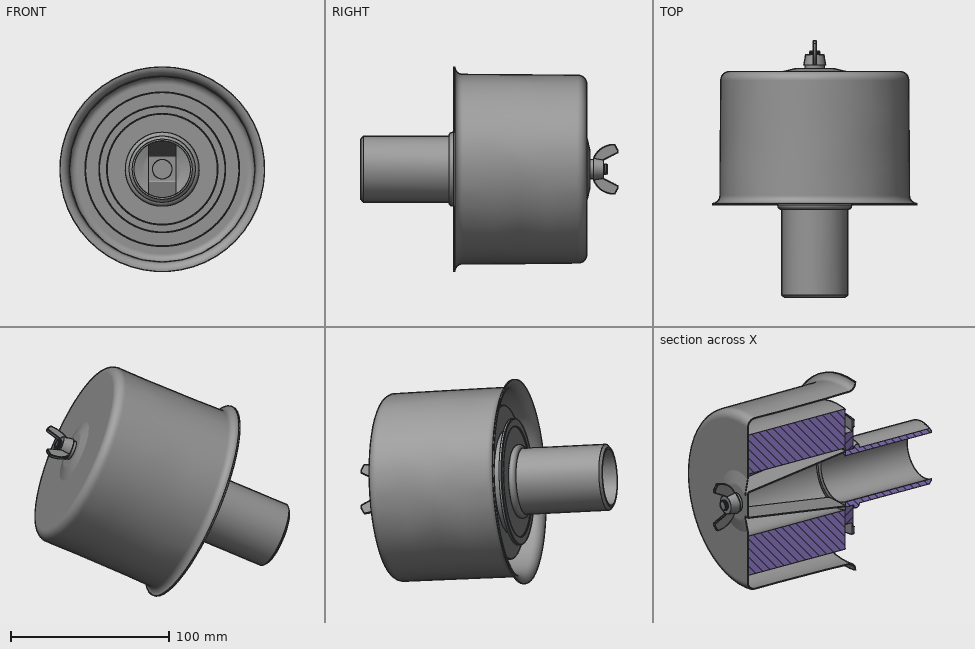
import cadquery as cq
import math


TOTAL_LENGTH = 162.4

SHEET = 1.0
RIM_DIAMETER = 129.5
RIM_RADIUS = RIM_DIAMETER / 2
RIM_Y = 58.6
FLARE_RADIUS = 4.7
MOUTH_RADIUS = RIM_RADIUS - FLARE_RADIUS
FLARE_START_Y = RIM_Y + SHEET + FLARE_RADIUS
BACK_Y = 142.9
BACK_FILLET = 5.7
BACK_WALL_RADIUS = 59.5
DOME_BASE_RADIUS = 20.0
DOME_TOP_RADIUS = 11.7
DOME_HEIGHT = 2.0
DOME_BEND = 6.0
DOME_TOP_Y = BACK_Y + DOME_HEIGHT

ELEMENT_RADIUS = 48.9
ELEMENT_BORE = 22.7
ELEMENT_FRONT_Y = 66.9
EDGE_CHAMFER = 0.5

PLATE_RADIUS = 40.1
PLATE_FRONT_Y = 60.0
PLATE_BACK_Y = 61.7
RECESS_RADIUS = 34.8
RECESS_DEPTH = 0.6
RECESS_Y = PLATE_FRONT_Y + RECESS_DEPTH
NECK_RADIUS = 32.5

PIPE_RADIUS = 21.0
PIPE_BORE = 17.9
PIPE_CHAMFER = 1.6
PIPE_CHAMFER_LENGTH = 2.0
COLLAR_FRONT_Y = 55.7
COLLAR_ROUND = (RECESS_Y - COLLAR_FRONT_Y) / 2

STRAP_WIDTH = 17.2
STRAP_THICKNESS = 1.0
STRAP_FLOOR_Y = 142.0
STRAP_FLOOR_HALF = 8.1
STRAP_FOOT_Z = 18.2
STRAP_BEND = 1.0

SHANK_RADIUS = 6.2
THREAD_RADIUS = 3.0
TIP_RADIUS = 3.4
TIP_LENGTH = 0.8
TIP_CHAMFER = 1.0
STUD_END_Y = 155.9

NUT_BASE_Y = 147.0
NUT_TOP_Y = 153.5
NUT_BASE_RADIUS = 7.0
NUT_TOP_RADIUS = 5.8
WING_THICKNESS = 2.0
WING_CHAMFER = 0.3
WING_ROOT_Z = 4.5
WING_END_LOW_Z = 10.4
WING_END_HIGH_Z = 12.2
WING_CORNER_Y = 160.5
WING_TOP_Z = 15.8
WING_MID_Y = 153.8
WING_MID_Z = 14.3


def turn(profile):
    """Revolve a closed profile of (Y, radius) points about the Y axis."""
    return profile.revolve(360, (0, 0, 0), (1, 0, 0))


def start_profile(y, radius):
    return cq.Workplane("YZ").moveTo(y, radius)


def cylinder(y_start, y_end, radius):
    return turn(
        start_profile(y_start, 0)
        .lineTo(y_start, radius)
        .lineTo(y_end, radius)
        .lineTo(y_end, 0)
        .close()
    )


def tube(y_start, y_end, radius, bore):
    return cylinder(y_start, y_end, radius).cut(cylinder(y_start, y_end, bore))


def make_housing():
    back_round = BACK_FILLET - SHEET
    corner_y = BACK_Y - BACK_FILLET
    flat_radius = BACK_WALL_RADIUS - BACK_FILLET
    diagonal = math.sqrt(0.5)
    flare_inner = FLARE_RADIUS + SHEET
    profile = (
        start_profile(RIM_Y, RIM_RADIUS)
        .lineTo(RIM_Y + SHEET, RIM_RADIUS)
        .threePointArc(
            (FLARE_START_Y - FLARE_RADIUS * diagonal, RIM_RADIUS - FLARE_RADIUS * diagonal),
            (FLARE_START_Y, MOUTH_RADIUS),
        )
        .lineTo(corner_y, BACK_WALL_RADIUS)
        .threePointArc(
            (corner_y + BACK_FILLET * diagonal, flat_radius + BACK_FILLET * diagonal),
            (BACK_Y, flat_radius),
        )
        .lineTo(BACK_Y, DOME_BASE_RADIUS)
        .lineTo(DOME_TOP_Y, DOME_TOP_RADIUS)
        .lineTo(DOME_TOP_Y, SHANK_RADIUS)
        .lineTo(DOME_TOP_Y - SHEET, SHANK_RADIUS)
        .lineTo(DOME_TOP_Y - SHEET, DOME_TOP_RADIUS)
        .lineTo(BACK_Y - SHEET, DOME_BASE_RADIUS)
        .lineTo(BACK_Y - SHEET, flat_radius)
        .threePointArc(
            (corner_y + back_round * diagonal, flat_radius + back_round * diagonal),
            (corner_y, BACK_WALL_RADIUS - SHEET),
        )
        .lineTo(FLARE_START_Y, MOUTH_RADIUS - SHEET)
        .threePointArc(
            (FLARE_START_Y - flare_inner * diagonal, RIM_RADIUS - flare_inner * diagonal),
            (RIM_Y, RIM_RADIUS),
        )
        .close()
    )
    housing = round_dome_bend(turn(profile), DOME_TOP_Y, DOME_BEND + SHEET)
    return round_dome_bend(housing, DOME_TOP_Y - SHEET, DOME_BEND)


def round_dome_bend(housing, y, radius):
    """Round the circular bend around the dome's flat top, on the sheet face at height y."""
    bend = cq.selectors.BoxSelector(
        (-DOME_BASE_RADIUS, y - SHEET / 2, -DOME_BASE_RADIUS),
        (DOME_BASE_RADIUS, y + SHEET / 2, DOME_BASE_RADIUS),
    )
    outermost = cq.selectors.RadiusNthSelector(-1)
    return housing.edges("%CIRCLE").edges(bend).edges(outermost).fillet(radius)


def make_filter_element():
    ring = tube(ELEMENT_FRONT_Y, BACK_Y - SHEET, ELEMENT_RADIUS, ELEMENT_BORE)
    outer_front_edge = cq.selectors.RadiusNthSelector(-1)
    return ring.faces("<Y").edges(outer_front_edge).chamfer(EDGE_CHAMFER)


def make_base_plate():
    disc = cylinder(PLATE_FRONT_Y, PLATE_BACK_Y, PLATE_RADIUS)
    disc = disc.cut(cylinder(PLATE_FRONT_Y, RECESS_Y, RECESS_RADIUS))
    disc = disc.faces("<Y").edges().chamfer(EDGE_CHAMFER)
    neck = cylinder(PLATE_BACK_Y, ELEMENT_FRONT_Y, NECK_RADIUS)
    return disc.union(neck).cut(cylinder(PLATE_FRONT_Y, ELEMENT_FRONT_Y, PIPE_RADIUS))


def make_inlet_pipe():
    pipe = cylinder(0, ELEMENT_FRONT_Y, PIPE_RADIUS)
    pipe = pipe.faces("<Y").chamfer(PIPE_CHAMFER_LENGTH, PIPE_CHAMFER)
    collar = turn(
        start_profile(COLLAR_FRONT_Y, PIPE_BORE)
        .lineTo(COLLAR_FRONT_Y, PIPE_RADIUS)
        .threePointArc(
            (COLLAR_FRONT_Y + COLLAR_ROUND, PIPE_RADIUS + COLLAR_ROUND),
            (RECESS_Y, PIPE_RADIUS),
        )
        .lineTo(RECESS_Y, PIPE_BORE)
        .close()
    )
    return pipe.union(collar).cut(cylinder(0, ELEMENT_FRONT_Y, PIPE_BORE))


def make_strap():
    outer_y = STRAP_FLOOR_Y + STRAP_THICKNESS
    strap = (
        cq.Workplane("YZ")
        .polyline([
            (ELEMENT_FRONT_Y, STRAP_FOOT_Z),
            (ELEMENT_FRONT_Y, STRAP_FOOT_Z + STRAP_THICKNESS),
            (outer_y, STRAP_FLOOR_HALF + STRAP_THICKNESS),
            (outer_y, -STRAP_FLOOR_HALF - STRAP_THICKNESS),
            (ELEMENT_FRONT_Y, -STRAP_FOOT_Z - STRAP_THICKNESS),
            (ELEMENT_FRONT_Y, -STRAP_FOOT_Z),
            (STRAP_FLOOR_Y, -STRAP_FLOOR_HALF),
            (STRAP_FLOOR_Y, STRAP_FLOOR_HALF),
        ])
        .close()
        .extrude(STRAP_WIDTH / 2, both=True)
    )
    outer_bends = strap.faces(">Y").edges("|X")
    strap = outer_bends.fillet(STRAP_BEND + STRAP_THICKNESS)
    inner_bends = cq.selectors.BoxSelector(
        (-STRAP_WIDTH, STRAP_FLOOR_Y - STRAP_THICKNESS / 2, -STRAP_FOOT_Z),
        (STRAP_WIDTH, STRAP_FLOOR_Y + STRAP_THICKNESS / 2, STRAP_FOOT_Z),
    )
    strap = strap.edges("|X").edges(inner_bends).fillet(STRAP_BEND)
    return strap.cut(cylinder(STRAP_FLOOR_Y, outer_y, SHANK_RADIUS))


def make_stud():
    shank = cylinder(STRAP_FLOOR_Y, NUT_BASE_Y, SHANK_RADIUS)
    thread = cylinder(NUT_BASE_Y, STUD_END_Y, THREAD_RADIUS)
    tip_y = STUD_END_Y - TIP_LENGTH - TIP_CHAMFER
    tip = cylinder(tip_y, STUD_END_Y, TIP_RADIUS).faces(">Y").chamfer(TIP_CHAMFER)
    return shank.union(thread).union(tip)


def make_wing(side):
    """One wing; side is +1 for the +Z wing and -1 for the -Z wing."""
    return (
        cq.Workplane("YZ")
        .moveTo(NUT_BASE_Y, side * WING_ROOT_Z)
        .lineTo(NUT_BASE_Y, side * NUT_BASE_RADIUS)
        .threePointArc((WING_MID_Y, side * WING_MID_Z), (WING_CORNER_Y, side * WING_TOP_Z))
        .lineTo(TOTAL_LENGTH, side * WING_END_HIGH_Z)
        .lineTo(TOTAL_LENGTH, side * WING_END_LOW_Z)
        .lineTo(NUT_TOP_Y, side * NUT_TOP_RADIUS)
        .lineTo(NUT_TOP_Y, side * WING_ROOT_Z)
        .close()
        .extrude(WING_THICKNESS / 2, both=True)
        .faces("<X or >X")
        .chamfer(WING_CHAMFER)
    )


def make_wing_nut():
    nut = turn(
        start_profile(NUT_BASE_Y, 0)
        .lineTo(NUT_BASE_Y, NUT_BASE_RADIUS)
        .lineTo(NUT_TOP_Y, NUT_TOP_RADIUS)
        .lineTo(NUT_TOP_Y, 0)
        .close()
    )
    for side in (1, -1):
        nut = nut.union(make_wing(side))
    return nut.cut(cylinder(NUT_BASE_Y, NUT_TOP_Y, THREAD_RADIUS))


housing = make_housing()
filter_element = make_filter_element()
base_plate = make_base_plate()
inlet_pipe = make_inlet_pipe()
strap = make_strap()
stud = make_stud()
wing_nut = make_wing_nut()

result = cq.Compound.makeCompound([
    housing.val(),
    filter_element.val(),
    base_plate.val(),
    inlet_pipe.val(),
    strap.val(),
    stud.val(),
    wing_nut.val(),
])